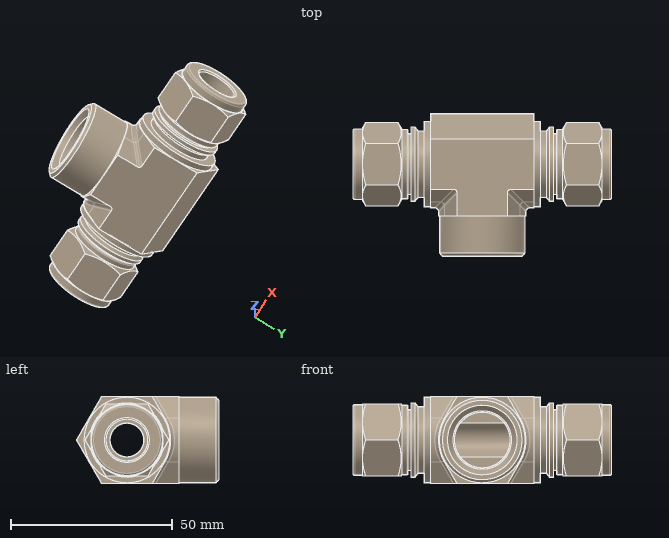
import cadquery as cq
import math

half_sector = math.radians(30)

body_width = 27.0
body_radius = body_width / 2
body_half_length = 16.0
branch_shoulder = 16.1
inner_corner_radius = 1.2

branch_diameter = 26.5
branch_end = 28.5
branch_end_chamfer = 1.0
branch_mouth_diameter = 21.5
branch_thread_diameter = 18.1
branch_core_diameter = 17.2
branch_thread_length = 14.1
branch_floor = 0.0

collar_diameter = 26.5
collar_end = 18.0
neck_diameter = 20.6
cone_start = 19.8
ferrule_diameter = 23.0
ferrule_start = 20.8
ferrule_end = 22.1
groove_diameter = 18.9
groove_end = 23.0
nut_skirt_diameter = 21.5
nut_skirt_rounding = 0.3
nut_start = 24.8
nut_end = 37.0
nut_middle = (nut_start + nut_end) / 2
nut_width = 22.4
nut_chamfer_angle = 30
nut_collar_diameter = 21.9
arm_end = 40.0
arm_end_rounding = 0.6

run_bore_diameter = 10.4
tube_bore_diameter = 12.9
tube_bore_end = collar_end
tube_mouth_chamfer = 0.5


half_flat = body_radius / math.sqrt(3)
tangent_across = body_radius * math.cos(half_sector)
tangent_up = body_radius * math.sin(half_sector)


def tee_section(plane, far_corner_rounded):
    """Hexagon flat at top and bottom, its corner on the local +X side rounded to the inscribed circle.

    The opposite corner is either rounded the same way or left sharp.
    """
    section = (
        cq.Workplane(plane)
        .moveTo(-half_flat, body_radius)
        .lineTo(half_flat, body_radius)
        .lineTo(tangent_across, tangent_up)
        .threePointArc((body_radius, 0), (tangent_across, -tangent_up))
        .lineTo(half_flat, -body_radius)
        .lineTo(-half_flat, -body_radius)
    )
    if far_corner_rounded:
        section = section.lineTo(-tangent_across, -tangent_up)
        section = section.threePointArc((-body_radius, 0), (-tangent_across, tangent_up))
    else:
        section = section.lineTo(-2 * half_flat, 0)
    return section.close()


def tee_body():
    """Run bar and branch bar, with the seam in each inner corner filleted."""
    run_plane = cq.Plane(origin=(-body_half_length, 0, 0), xDir=(0, -1, 0), normal=(1, 0, 0))
    run = tee_section(run_plane, far_corner_rounded=False).extrude(2 * body_half_length)
    branch = tee_section("XZ", far_corner_rounded=True).extrude(branch_shoulder)
    body = run.union(branch)
    margin = 0.1
    near = half_flat - margin
    far = body_radius + margin
    for left, right in ((-far, -near), (near, far)):
        seam_box = cq.selectors.BoxSelector((left, -far, -far), (right, -near, far), boundingbox=True)
        body = body.edges(seam_box).fillet(inner_corner_radius)
    return body


def cylinder_along_x(diameter, start, end):
    return cq.Workplane("YZ").workplane(offset=start).circle(diameter / 2).extrude(end - start)


def revolved_about_x(profile):
    """Solid of revolution from (position, diameter) pairs along the run axis."""
    points = [(x, diameter / 2) for x, diameter in profile]
    return cq.Workplane("XY").polyline(points).close().revolve(360, (0, 0, 0), (1, 0, 0))


def nut_hexagon():
    """Hexagon of the nut; the end cones start at the skirt on one side and at the flats on the other."""
    corner_diameter = nut_width / math.cos(half_sector)
    hexagon = (
        cq.Workplane("YZ")
        .workplane(offset=nut_start)
        .polygon(6, corner_diameter)
        .extrude(nut_end - nut_start)
    )
    cone_slope = math.tan(math.radians(nut_chamfer_angle))
    inner_setback = (corner_diameter - nut_skirt_diameter) / 2 * cone_slope
    outer_setback = (corner_diameter - nut_width) / 2 * cone_slope
    double_cone = revolved_about_x([
        (nut_start, 0),
        (nut_start, nut_skirt_diameter),
        (nut_start + inner_setback, corner_diameter),
        (nut_end - outer_setback, corner_diameter),
        (nut_end, nut_width),
        (nut_end, 0),
    ])
    return hexagon.intersect(double_cone)


def run_arm():
    """Collar, neck, ferrule, groove and nut of the arm on the +X side."""
    core = revolved_about_x([
        (0, 0),
        (0, collar_diameter),
        (collar_end, collar_diameter),
        (collar_end, neck_diameter),
        (cone_start, neck_diameter),
        (ferrule_start, ferrule_diameter),
        (ferrule_end, ferrule_diameter),
        (ferrule_end, groove_diameter),
        (nut_start, groove_diameter),
        (nut_start, 0),
    ])
    nut_skirt = cylinder_along_x(nut_skirt_diameter, groove_end, nut_start)
    nut_skirt = nut_skirt.faces("<X").edges().fillet(nut_skirt_rounding)
    nut_collar = cylinder_along_x(nut_collar_diameter, nut_middle, arm_end)
    nut_collar = nut_collar.faces(">X").edges().fillet(arm_end_rounding)
    return core.union(nut_skirt).union(nut_hexagon()).union(nut_collar)


def threaded_branch():
    """Round branch towards -Y, chamfered at its end."""
    return (
        cq.Workplane("XZ")
        .circle(branch_diameter / 2)
        .extrude(branch_end)
        .faces("<Y")
        .chamfer(branch_end_chamfer)
    )


def branch_bore():
    """Mouth chamfer at 45 degrees, tapered thread bore, then a plain bore to a flat floor."""
    mouth_depth = (branch_mouth_diameter - branch_thread_diameter) / 2
    profile = [
        (0, -branch_end),
        (branch_mouth_diameter / 2, -branch_end),
        (branch_thread_diameter / 2, -branch_end + mouth_depth),
        (branch_core_diameter / 2, -branch_end + branch_thread_length),
        (branch_core_diameter / 2, -branch_floor),
        (0, -branch_floor),
    ]
    return cq.Workplane("XY").polyline(profile).close().revolve(360, (0, 0, 0), (0, 1, 0))


def tube_bore():
    """Bore for the tube in the arm on the +X side, widened at its mouth."""
    return revolved_about_x([
        (tube_bore_end, 0),
        (tube_bore_end, tube_bore_diameter),
        (arm_end - tube_mouth_chamfer, tube_bore_diameter),
        (arm_end, tube_bore_diameter + 2 * tube_mouth_chamfer),
        (arm_end, 0),
    ])


def both_sides(arm):
    return arm.union(arm.mirror("YZ"))


solid = tee_body().union(both_sides(run_arm())).union(threaded_branch())
run_bore = cylinder_along_x(run_bore_diameter, -arm_end, arm_end)
result = solid.cut(run_bore).cut(both_sides(tube_bore())).cut(branch_bore())